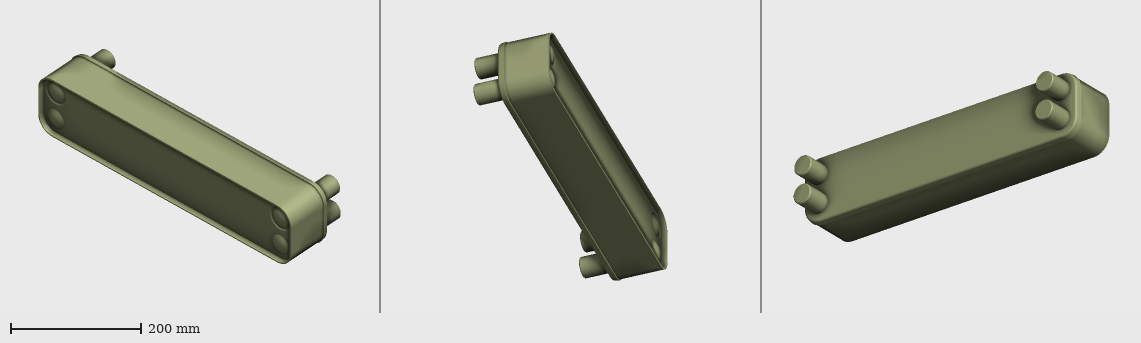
import cadquery as cq

LENGTH = 527.5
HEIGHT = 113.0

SHEET = 2.35
WALL_SLOPE = 0.18
PAN_DEPTH = 10.5
PAN_EDGE_RADIUS = 3.5
RIM_RISE = SHEET * WALL_SLOPE

COVER_OVERHANG = 1.5
FRONT_OVERHANG = 0.25
CORNER_RADIUS = 29.0
PACK_HALF_LENGTH = LENGTH / 2 - COVER_OVERHANG
PACK_HALF_HEIGHT = HEIGHT / 2 - COVER_OVERHANG

PORT_X = PACK_HALF_LENGTH - CORNER_RADIUS
PORT_Z = 25.0

COVER_BACK = 84.5
FRONT_RIM = 0.0
COVER_RIM = COVER_BACK - PAN_DEPTH

PORT_PRESS = 1.5
SEAT_BACK = COVER_BACK + PORT_PRESS
DOME_RADIUS = 17.5
DOME_HEIGHT = 5.5
RECESS_RADIUS = 21.0
RECESS_FLOOR_RADIUS = 19.0

PIPE_RADIUS = 17.0
PIPE_LENGTH = 42.5
PIPE_CHAMFER = 1.5


def outline(y, offset):
    """Rounded rectangle at distance y along the workplane normal, offset outwards from the pack outline."""
    half_length = PACK_HALF_LENGTH + offset
    half_height = PACK_HALF_HEIGHT + offset
    return (
        cq.Sketch()
        .rect(2 * half_length, 2 * half_height)
        .vertices()
        .fillet(CORNER_RADIUS + offset)
        .moved(cq.Location(cq.Vector(0, 0, y)))
    )


def frustum(start, start_offset, end, end_offset):
    """Solid between two outlines at Y = start and Y = end."""
    return cq.Workplane("XZ").placeSketch(outline(-start, start_offset), outline(-end, end_offset)).loft()


def flared(front, back, front_offset):
    """Solid that widens towards -Y with the wall slope of the pans."""
    return frustum(front, front_offset, back, front_offset - WALL_SLOPE * (back - front))


def rounded_flared(front, back, front_offset):
    """Flared solid with the rounded back edge of the pans."""
    return flared(front, back, front_offset).faces(">Y").edges().fillet(PAN_EDGE_RADIUS)


def pan(rim, offset):
    """Pressed plate whose rim edge is square to its flared wall."""
    wall_start = rim + RIM_RISE
    back = rim + PAN_DEPTH
    shell = rounded_flared(wall_start, back, offset)
    shell = shell.union(frustum(rim, offset - SHEET, wall_start, offset))
    return shell.cut(flared(rim, back - SHEET, offset - SHEET))


def revolved(profile, x, z):
    """Turn a closed (radius, y) profile about the Y axis and move it to a port."""
    return cq.Workplane("XY").polyline(profile).close().revolve(360, (0, 0), (0, 1)).translate((x, 0, z))


def dome(base, x, z):
    """Spherical cap bulging towards -Y."""
    sphere_radius = (DOME_RADIUS**2 + DOME_HEIGHT**2) / (2 * DOME_HEIGHT)
    return (
        cq.Workplane("XY")
        .moveTo(0, base)
        .lineTo(DOME_RADIUS, base)
        .radiusArc((0, base - DOME_HEIGHT), sphere_radius)
        .close()
        .revolve(360, (0, 0), (0, 1))
        .translate((x, 0, z))
    )


def make_front_plate():
    plate = pan(FRONT_RIM, FRONT_OVERHANG)
    floor = FRONT_RIM + PAN_DEPTH - SHEET
    recess_floor = floor + PORT_PRESS
    recess = [(0, floor), (RECESS_RADIUS, floor), (RECESS_FLOOR_RADIUS, recess_floor), (0, recess_floor)]
    for x in (-PORT_X, PORT_X):
        plate = plate.cut(revolved(recess, x, PORT_Z))
        plate = plate.union(dome(recess_floor, x, PORT_Z))
        plate = plate.union(dome(floor, x, -PORT_Z))
    return plate


def make_pack():
    taper_start = COVER_RIM - (SHEET - COVER_OVERHANG) / WALL_SLOPE
    body = frustum(FRONT_RIM, 0, taper_start, 0).union(flared(taper_start, COVER_BACK - SHEET, 0))
    mouth_offset = FRONT_OVERHANG + WALL_SLOPE * RIM_RISE
    return body.cut(rounded_flared(FRONT_RIM, FRONT_RIM + PAN_DEPTH, mouth_offset))


def make_cover():
    plate = pan(COVER_RIM, COVER_OVERHANG)
    seat = [(0, COVER_BACK), (PIPE_RADIUS, COVER_BACK), (PIPE_RADIUS, SEAT_BACK), (0, SEAT_BACK)]
    for x in (-PORT_X, PORT_X):
        plate = plate.union(revolved(seat, x, -PORT_Z))
    return plate


def make_pipe(x, z, base):
    end = base + PIPE_LENGTH
    profile = [
        (0, base),
        (PIPE_RADIUS, base),
        (PIPE_RADIUS, end - PIPE_CHAMFER),
        (PIPE_RADIUS - PIPE_CHAMFER, end),
        (0, end),
    ]
    return revolved(profile, x, z)


front_plate = make_front_plate()
pack = make_pack()
cover = make_cover()
pipes = [
    make_pipe(x, z, base)
    for x in (-PORT_X, PORT_X)
    for z, base in ((PORT_Z, COVER_BACK), (-PORT_Z, SEAT_BACK))
]

result = cq.Compound.makeCompound(
    [front_plate.val(), pack.val(), cover.val(), *[pipe.val() for pipe in pipes]]
)